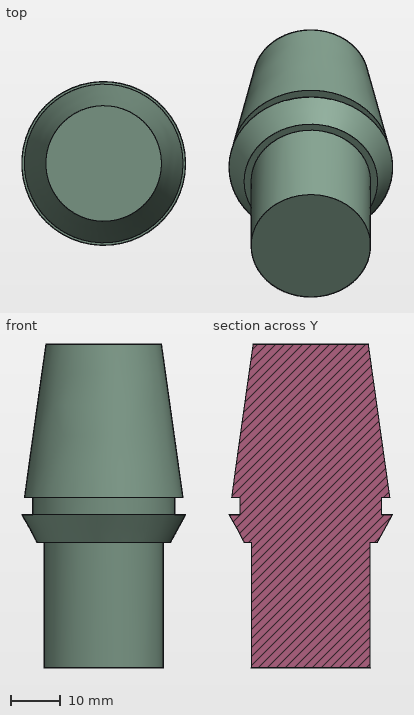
import cadquery as cq

total_height = 65.4
shank_height = 25.3
collar_height = 5.6
groove_height = 3.45

shank_diameter = 24.1
collar_bottom_diameter = 26.95
collar_top_diameter = 33.1
neck_diameter = 28.8
head_bottom_diameter = 32.05
head_top_diameter = 23.35

collar_top = shank_height + collar_height
head_bottom = collar_top + groove_height


def frustum(bottom_diameter, top_diameter, bottom, top):
    """Solid of revolution about Z with straight sides between two levels."""
    profile = (
        cq.Workplane("XZ")
        .moveTo(0, bottom)
        .lineTo(bottom_diameter / 2, bottom)
        .lineTo(top_diameter / 2, top)
        .lineTo(0, top)
        .close()
    )
    return profile.revolve(360, (0, 0, 0), (0, 1, 0))


shank = frustum(shank_diameter, shank_diameter, 0, shank_height)
collar = frustum(collar_bottom_diameter, collar_top_diameter, shank_height, collar_top)
neck = frustum(neck_diameter, neck_diameter, collar_top, head_bottom)
head = frustum(head_bottom_diameter, head_top_diameter, head_bottom, total_height)

result = shank.union(collar).union(neck).union(head)